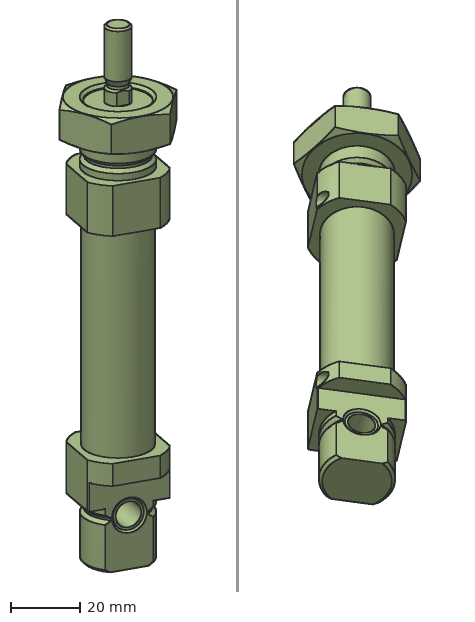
import cadquery as cq
import math

total_height = 167.0
rear_collar_bottom = 20.0
rear_corner_bottom = 29.0
rear_collar_top = 36.0
front_collar_bottom = 107.0
front_collar_top = 122.7
nut_bottom = 133.1
nut_height = 11.2
nut_top = nut_bottom + nut_height

thread_dia = 22.0
relief_dia = 19.7
tube_dia = 21.4
collar_across_flats = 26.0
collar_corner_dia = 30.0
clevis_width = 16.0
end_chamfer = 1.0
rear_relief_bottom = 15.0
rear_relief_top = 18.0
front_relief_bottom = 124.9
front_relief_top = 128.1
relief_taper = (thread_dia - relief_dia) / 2

pivot_dia = 8.0
pivot_rim_dia = 11.0
pivot_seat_dia = 9.7
pivot_z = 16.9

screw_hole_dia = 5.0
screw_hole_x = -8.5
screw_hole_depth = 5.0
screw_hole_heights = [32.2, 110.4]

nut_across_flats = 32.0
nut_face_dia = 31.7
nut_bore_dia = 20.0
nut_bore_chamfer = (thread_dia - nut_bore_dia) / 2
nut_chamfer_angle = 20.0
hex_half_angle = 30.0
housing_recess = 0.3
housing_top = nut_top - nut_bore_chamfer - housing_recess

rod_dia = 8.0
rod_across_flats = 7.0
rod_neck_dia = 6.3
rod_tip_chamfer = 0.7
rod_thread_bottom = 150.6
rod_neck_top = 148.8
rod_neck_bottom = 147.8
rod_flats_top = 147.1
rod_seat_depth = 10.0
rod_bottom = housing_top - rod_seat_depth


def cylinder(dia, bottom, top):
    return cq.Workplane("XY").workplane(offset=bottom).circle(dia / 2).extrude(top - bottom)


def turned(profile):
    """Revolve a (radius, z) outline about the Z axis."""
    return cq.Workplane("XZ").polyline(profile).close().revolve(360, (0, 0), (0, 1))


def relief_groove(bottom, top):
    """Ring cutter for a thread relief with conical ends."""
    outer = thread_dia / 2
    inner = relief_dia / 2
    return turned([
        (outer, bottom),
        (inner, bottom + relief_taper),
        (inner, top - relief_taper),
        (outer, top),
    ])


def square_collar(bottom, top):
    """Square block whose corners are turned down to a round."""
    block = (
        cq.Workplane("XY")
        .workplane(offset=bottom)
        .rect(collar_across_flats, collar_across_flats)
        .extrude(top - bottom)
    )
    return block.intersect(cylinder(collar_corner_dia, bottom, top))


def make_rear_end():
    """Threaded clevis end with its square collar, flattened to the clevis width."""
    end = cylinder(thread_dia, 0, rear_collar_bottom).faces("<Z").chamfer(end_chamfer)
    end = end.cut(relief_groove(rear_relief_bottom, rear_relief_top))
    end = end.union(square_collar(rear_collar_bottom, rear_corner_bottom))
    clevis = cq.Workplane("XY").rect(clevis_width, collar_corner_dia).extrude(rear_corner_bottom)
    end = end.intersect(clevis)
    return end.union(square_collar(rear_corner_bottom, rear_collar_top))


def make_front_end():
    """Square collar, mounting thread and the spigot inside the nut."""
    thread = cylinder(thread_dia, front_collar_top, nut_bottom)
    thread = thread.cut(relief_groove(front_relief_bottom, front_relief_top))
    spigot = cylinder(nut_bore_dia, nut_bottom, housing_top)
    return square_collar(front_collar_bottom, front_collar_top).union(thread).union(spigot)


def pivot_hole_cutter():
    """Cross hole along X with a shallow conical recess at both clevis faces."""
    half_width = clevis_width / 2
    hole_radius = pivot_dia / 2
    rim_radius = pivot_rim_dia / 2
    seat_radius = pivot_seat_dia / 2
    recess_depth = rim_radius - seat_radius
    outline = [
        (-half_width, 0),
        (-half_width, rim_radius),
        (-half_width + recess_depth, seat_radius),
        (-half_width + recess_depth, hole_radius),
        (half_width - recess_depth, hole_radius),
        (half_width - recess_depth, seat_radius),
        (half_width, rim_radius),
        (half_width, 0),
    ]
    cutter = cq.Workplane("XY").polyline(outline).close().revolve(360, (0, 0), (1, 0))
    return cutter.translate((0, 0, pivot_z))


def screw_hole_cutter(height):
    """Blind hole entering from the +Y flat of a collar."""
    hole = cq.Workplane("XZ").circle(screw_hole_dia / 2).extrude(screw_hole_depth)
    return hole.translate((screw_hole_x, collar_across_flats / 2, height))


def make_housing():
    tube = cylinder(tube_dia, rear_collar_top, front_collar_bottom)
    housing = make_rear_end().union(tube).union(make_front_end())
    housing = housing.cut(pivot_hole_cutter())
    for height in screw_hole_heights:
        housing = housing.cut(screw_hole_cutter(height))
    return housing.cut(cylinder(rod_dia, rod_bottom, housing_top))


def make_nut():
    corner_radius = nut_across_flats / 2 / math.cos(math.radians(hex_half_angle))
    face_radius = nut_face_dia / 2
    corner_drop = (corner_radius - face_radius) * math.tan(math.radians(nut_chamfer_angle))
    hexagon = (
        cq.Workplane("XY")
        .workplane(offset=nut_bottom)
        .polygon(6, 2 * corner_radius)
        .extrude(nut_height)
        .rotate((0, 0, 0), (0, 0, 1), hex_half_angle)
    )
    envelope = turned([
        (0, nut_bottom),
        (face_radius, nut_bottom),
        (corner_radius, nut_bottom + corner_drop),
        (corner_radius, nut_top - corner_drop),
        (face_radius, nut_top),
        (0, nut_top),
    ])
    bore = turned([
        (0, nut_bottom),
        (nut_bore_dia / 2, nut_bottom),
        (nut_bore_dia / 2, nut_top - nut_bore_chamfer),
        (thread_dia / 2, nut_top),
        (0, nut_top),
    ])
    return hexagon.intersect(envelope).cut(bore)


def make_rod():
    radius = rod_dia / 2
    neck_radius = rod_neck_dia / 2
    rod = turned([
        (0, rod_bottom),
        (radius, rod_bottom),
        (radius, rod_flats_top),
        (neck_radius, rod_neck_bottom),
        (neck_radius, rod_neck_top),
        (radius, rod_thread_bottom),
        (radius, total_height - rod_tip_chamfer),
        (radius - rod_tip_chamfer, total_height),
        (0, total_height),
    ])
    flats_height = rod_neck_bottom - housing_top
    flats_stock = cq.Workplane("XY").workplane(offset=housing_top)
    across = flats_stock.rect(rod_across_flats, rod_dia).extrude(flats_height)
    trimmed = flats_stock.rect(2 * rod_dia, 2 * rod_dia).extrude(flats_height).cut(across)
    return rod.cut(trimmed)


housing = make_housing()
nut = make_nut()
rod = make_rod()

result = cq.Compound.makeCompound([housing.val(), nut.val(), rod.val()])